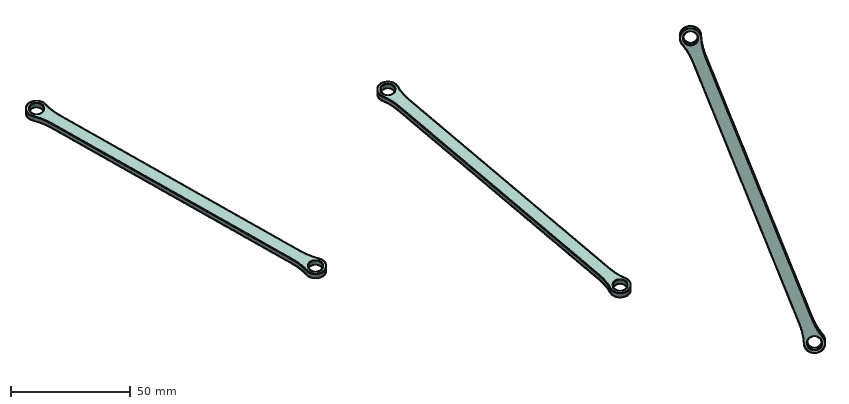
import cadquery as cq
import math

length_x = 151.7
width_y = 39.7
thickness = 3.0
eye_radius = 4.5
hole_diameter = 6.0
bar_width = 5.9
blend_radius = 27.3
edge_chamfer = 0.2

eye_run = length_x - 2 * eye_radius
eye_rise = width_y - 2 * eye_radius
half_span = math.hypot(eye_run, eye_rise) / 2
tilt_degrees = math.degrees(math.atan2(eye_rise, eye_run))

half_bar = bar_width / 2
blend_offset = half_bar + blend_radius
blend_run = math.sqrt((eye_radius + blend_radius) ** 2 - blend_offset**2)
blend_x = half_span - blend_run


def link_outline():
    """Return the link outline with its long axis along X."""
    to_eye = eye_radius / (eye_radius + blend_radius)
    touch_x = half_span - blend_run * to_eye
    touch_y = blend_offset * to_eye
    half_sweep = math.atan2(blend_run, blend_offset) / 2
    mid_x = blend_x + blend_radius * math.sin(half_sweep)
    mid_y = blend_offset - blend_radius * math.cos(half_sweep)
    eye_end = half_span + eye_radius
    return (
        cq.Workplane("XY")
        .moveTo(-blend_x, half_bar)
        .lineTo(blend_x, half_bar)
        .threePointArc((mid_x, mid_y), (touch_x, touch_y))
        .threePointArc((eye_end, 0), (touch_x, -touch_y))
        .threePointArc((mid_x, -mid_y), (blend_x, -half_bar))
        .lineTo(-blend_x, -half_bar)
        .threePointArc((-mid_x, -mid_y), (-touch_x, -touch_y))
        .threePointArc((-eye_end, 0), (-touch_x, touch_y))
        .threePointArc((-mid_x, mid_y), (-blend_x, half_bar))
        .close()
    )


def eye_holes():
    """Return the two cylinders that bore through the eyes."""
    return (
        cq.Workplane("XY")
        .pushPoints([(-half_span, 0), (half_span, 0)])
        .circle(hole_diameter / 2)
        .extrude(thickness)
    )


link = link_outline().extrude(thickness).cut(eye_holes())
link = link.faces("|Z").edges().chamfer(edge_chamfer)
result = link.rotate((0, 0, 0), (0, 0, 1), tilt_degrees)